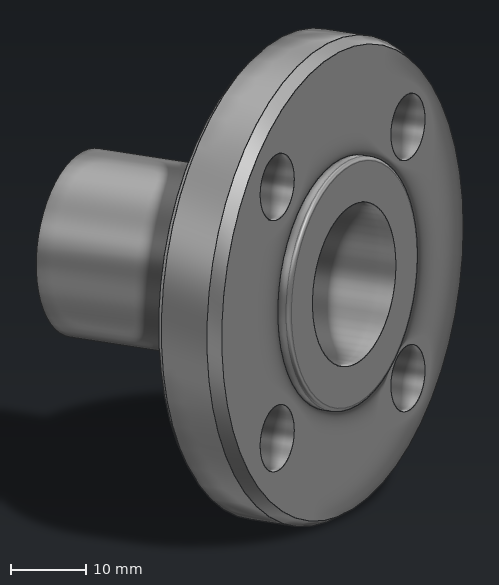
import cadquery as cq
import math

total_length = 41.5
flange_diameter = 66.0
bore_diameter = 22.1

neck_diameter = 25.4
neck_fillet = 4.0

flange_thickness = 9.7
front_chamfer = 1.0
back_chamfer_depth = 1.0
back_chamfer_angle = 30.0

face_diameter = 34.3
face_height = 1.8
face_fillet = 0.5

bolt_count = 4
bolt_hole_diameter = 9.05
bolt_circle_diameter = 49.0
first_bolt_angle = 45.0

flange_back = total_length - face_height
flange_front = flange_back - flange_thickness


def arc_middle(center_x, center_r, radius, angle):
    """Point on a circular arc, with the angle measured from +X towards larger radius."""
    turn = math.radians(angle)
    return center_x + radius * math.cos(turn), center_r + radius * math.sin(turn)


def flange_body():
    """Revolve the half section (X along the axis, Y as radius) about the X axis."""
    bore_r = bore_diameter / 2
    neck_r = neck_diameter / 2
    flange_r = flange_diameter / 2
    face_r = face_diameter / 2
    fillet_start = flange_front - neck_fillet
    fillet_top = neck_r + neck_fillet
    back_chamfer_length = back_chamfer_depth / math.tan(math.radians(back_chamfer_angle))
    round_start = total_length - face_fillet
    round_end_r = face_r - face_fillet

    section = (
        cq.Workplane("XY")
        .moveTo(0, bore_r)
        .lineTo(0, neck_r)
        .lineTo(fillet_start, neck_r)
        .threePointArc(
            arc_middle(fillet_start, fillet_top, neck_fillet, -45),
            (flange_front, fillet_top),
        )
        .lineTo(flange_front, flange_r - front_chamfer)
        .lineTo(flange_front + front_chamfer, flange_r)
        .lineTo(flange_back - back_chamfer_length, flange_r)
        .lineTo(flange_back, flange_r - back_chamfer_depth)
        .lineTo(flange_back, face_r)
        .lineTo(round_start, face_r)
        .threePointArc(
            arc_middle(round_start, round_end_r, face_fillet, 45),
            (total_length, round_end_r),
        )
        .lineTo(total_length, bore_r)
        .close()
    )
    return section.revolve(360, (0, 0, 0), (1, 0, 0))


def bolt_holes():
    """Cylinders along X that pass through the flange disc."""
    return (
        cq.Workplane("YZ", origin=(flange_front, 0, 0))
        .polarArray(bolt_circle_diameter / 2, first_bolt_angle, 360, bolt_count)
        .circle(bolt_hole_diameter / 2)
        .extrude(flange_thickness)
    )


result = flange_body().cut(bolt_holes())